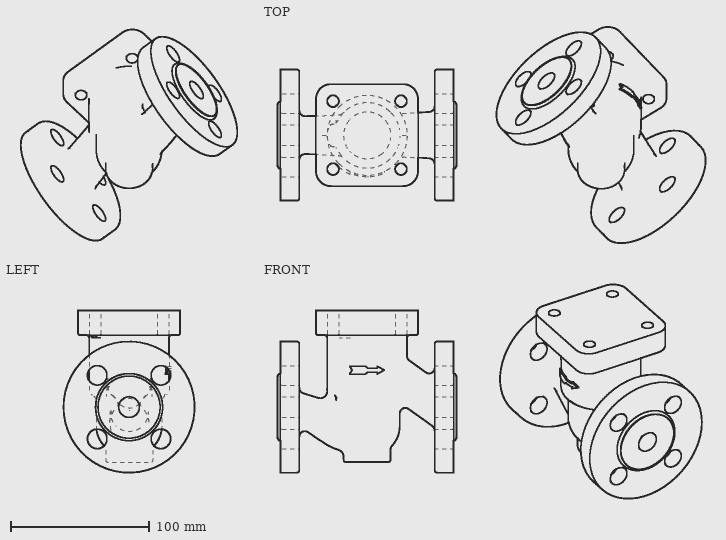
import cadquery as cq


LENGTH = 130.0
FLANGE_DIA = 95.0
FLANGE_THICKNESS = 13.8
FLANGE_EDGE_ROUND = 1.8
RAISED_FACE_DIA = 45.0
RAISED_FACE_HEIGHT = 2.3
RAISED_FACE_FILLET = 1.8
BORE_DIA = 15.0
BOLT_CIRCLE_DIA = 65.0
BOLT_HOLE_DIA = 14.0
BOLT_COUNT = 4

FLANGE_FRONT_X = LENGTH / 2 - RAISED_FACE_HEIGHT
FLANGE_BACK_X = FLANGE_FRONT_X - FLANGE_THICKNESS
BORE_DEPTH = RAISED_FACE_HEIGHT + FLANGE_THICKNESS

HEIGHT = 117.5
PLATE_SIDE = 74.0
PLATE_THICKNESS = 18.0
PLATE_CORNER_RADIUS = 10.9
PLATE_EDGE_ROUND = 1.5
PLATE_HOLE_DIA = 8.3
PLATE_HOLE_PITCH = 49.1

PLATE_TOP_Z = HEIGHT - FLANGE_DIA / 2
PLATE_BOTTOM_Z = PLATE_TOP_Z - PLATE_THICKNESS

CHAMBER_RADIUS = 58.0 / 2
CHAMBER_BOTTOM_Z = 13.1
SHOULDER_TURN_Z = 9.0
WAIST_RADIUS = 23.8
WAIST_TOP_Z = 3.9
WAIST_BOTTOM_Z = -13.9
BOWL_TURN_Z = -27.5
BOSS_RADIUS = 34.0 / 2
BOSS_TOP_Z = -31.3
BOSS_BOTTOM_Z = -39.8
BOSS_EDGE_ROUND = 1.7
PLATE_FILLET = 1.8

INLET_SECTIONS = [
    (-52.0, 0.0, 13.8, 12.0),
    (-37.0, -7.4, 13.9, 14.7),
    (-29.0, -11.3, 14.3, 16.1),
    (-19.5, -14.8, 14.8, 16.5),
    (-6.5, -16.9, 15.0, 15.6),
]
OUTLET_SECTIONS = [
    (13.0, 28.6, 15.0, 17.8),
    (52.0, 0.6, 17.3, 17.8),
]
PIPE_FILLET = 3.9
OUTLET_BODY_FILLET = 3.9
INLET_BODY_FILLET = 5.0

SEAM_MARGIN = 0.1

ARROW_CENTER_Z = 26.8
ARROW_TAIL_X = -12.6
ARROW_NOTCH_X = -10.8
ARROW_TAPER_START_X = -1.2
ARROW_TAPER_END_X = 0.5
ARROW_HEAD_X = 7.3
ARROW_TIP_X = 12.5
ARROW_HALF_HEIGHT = 2.9
ARROW_SHAFT_HALF_HEIGHT = 1.4
ARROW_RELIEF = 1.0


def make_flange():
    """Flange on the +X end, with its raised face outwards and no bore yet."""
    disc = (
        cq.Workplane("YZ", origin=(FLANGE_BACK_X, 0, 0))
        .circle(FLANGE_DIA / 2)
        .extrude(FLANGE_THICKNESS)
        .faces("<X").edges().fillet(FLANGE_EDGE_ROUND)
    )
    inner_x = FLANGE_BACK_X + FLANGE_THICKNESS / 2
    fillet_end_x = FLANGE_FRONT_X + RAISED_FACE_FILLET
    face_radius = RAISED_FACE_DIA / 2
    foot_radius = face_radius + RAISED_FACE_FILLET
    raised_face = (
        cq.Workplane("XY")
        .moveTo(inner_x, 0)
        .lineTo(inner_x, foot_radius)
        .lineTo(FLANGE_FRONT_X, foot_radius)
        .radiusArc((fillet_end_x, face_radius), RAISED_FACE_FILLET)
        .lineTo(LENGTH / 2, face_radius)
        .lineTo(LENGTH / 2, 0)
        .close()
        .revolve(360, (0, 0, 0), (1, 0, 0))
    )
    return disc.union(raised_face)


def make_pipe(sections):
    """Oblique pipe lofted through elliptical sections."""
    pipe = cq.Workplane("YZ")
    last_x = 0
    for x, center_z, half_width, half_height in sections:
        pipe = (
            pipe.workplane(offset=x - last_x)
            .moveTo(0, center_z)
            .ellipse(half_width, half_height)
        )
        last_x = x
    return pipe.loft(combine=True)


def radius_on_step(z, upper, lower):
    """Radius at height z on the straight line between two (radius, z) points."""
    share = (z - lower[1]) / (upper[1] - lower[1])
    return lower[0] + share * (upper[0] - lower[0])


def make_body():
    """Turned body whose steps are S-curves of two tangent arcs."""
    chamber_end = (CHAMBER_RADIUS, CHAMBER_BOTTOM_Z)
    waist_start = (WAIST_RADIUS, WAIST_TOP_Z)
    waist_end = (WAIST_RADIUS, WAIST_BOTTOM_Z)
    boss_start = (BOSS_RADIUS, BOSS_TOP_Z)
    shoulder_turn = (radius_on_step(SHOULDER_TURN_Z, chamber_end, waist_start), SHOULDER_TURN_Z)
    bowl_turn = (radius_on_step(BOWL_TURN_Z, waist_end, boss_start), BOWL_TURN_Z)
    return (
        cq.Workplane("XZ")
        .moveTo(0, PLATE_BOTTOM_Z)
        .lineTo(CHAMBER_RADIUS, PLATE_BOTTOM_Z)
        .lineTo(*chamber_end)
        .tangentArcPoint(shoulder_turn, relative=False)
        .tangentArcPoint(waist_start, relative=False)
        .lineTo(*waist_end)
        .tangentArcPoint(bowl_turn, relative=False)
        .tangentArcPoint(boss_start, relative=False)
        .lineTo(BOSS_RADIUS, BOSS_BOTTOM_Z)
        .lineTo(0, BOSS_BOTTOM_Z)
        .close()
        .revolve(360, (0, 0, 0), (0, 1, 0))
        .faces("<Z").edges().fillet(BOSS_EDGE_ROUND)
    )


def make_plate():
    """Square cover plate, without its holes."""
    return (
        cq.Workplane("XY", origin=(0, 0, PLATE_BOTTOM_Z))
        .rect(PLATE_SIDE, PLATE_SIDE)
        .extrude(PLATE_THICKNESS)
        .edges("|Z").fillet(PLATE_CORNER_RADIUS)
        .faces("<Z").edges().fillet(PLATE_EDGE_ROUND)
    )


def make_arrow():
    """Flow arrow pointing to +X, a thin pad following the chamber wall."""
    upper_side = [
        (ARROW_TAIL_X, ARROW_HALF_HEIGHT),
        (ARROW_TAPER_START_X, ARROW_HALF_HEIGHT),
        (ARROW_TAPER_END_X, ARROW_SHAFT_HALF_HEIGHT),
        (ARROW_HEAD_X, ARROW_SHAFT_HALF_HEIGHT),
        (ARROW_HEAD_X, ARROW_HALF_HEIGHT),
    ]
    lower_side = [(x, -z) for x, z in reversed(upper_side)]
    outline = upper_side + [(ARROW_TIP_X, 0)] + lower_side + [(ARROW_NOTCH_X, 0)]
    pad_radius = CHAMBER_RADIUS + ARROW_RELIEF
    prism = (
        cq.Workplane("XZ", origin=(0, 0, ARROW_CENTER_Z))
        .polyline(outline)
        .close()
        .extrude(2 * pad_radius)
    )
    ring = (
        cq.Workplane("XY", origin=(0, 0, ARROW_CENTER_Z - 2 * ARROW_HALF_HEIGHT))
        .circle(pad_radius)
        .circle(CHAMBER_RADIUS - ARROW_RELIEF)
        .extrude(4 * ARROW_HALF_HEIGHT)
    )
    return prism.intersect(ring)


def bolt_hole_cutter():
    """Bolt holes through both flanges, straddling the centre lines."""
    one_end = (
        cq.Workplane("YZ", origin=(FLANGE_BACK_X, 0, 0))
        .polarArray(BOLT_CIRCLE_DIA / 2, 180 / BOLT_COUNT, 360, BOLT_COUNT)
        .circle(BOLT_HOLE_DIA / 2)
        .extrude(FLANGE_THICKNESS)
    )
    return one_end.union(one_end.mirror("YZ"))


def bore_cutter():
    """Blind bore in each flange."""
    one_end = (
        cq.Workplane("YZ", origin=(LENGTH / 2 - BORE_DEPTH, 0, 0))
        .circle(BORE_DIA / 2)
        .extrude(BORE_DEPTH)
    )
    return one_end.union(one_end.mirror("YZ"))


def plate_hole_cutter():
    """Four holes through the cover plate."""
    return (
        cq.Workplane("XY", origin=(0, 0, PLATE_BOTTOM_Z))
        .rect(PLATE_HOLE_PITCH, PLATE_HOLE_PITCH, forConstruction=True)
        .vertices()
        .circle(PLATE_HOLE_DIA / 2)
        .extrude(PLATE_THICKNESS)
    )


def fillet_edges_in_box(solid, low_corner, high_corner, radius):
    """Fillet every edge that lies wholly inside the given box."""
    box = cq.selectors.BoxSelector(low_corner, high_corner, boundingbox=True)
    return solid.edges(box).fillet(radius)


def join_pipe(flange, sections, side):
    """Flange with its pipe and the fillet between them; side is +1 on +X and -1 on -X."""
    seam_x = side * FLANGE_BACK_X
    reach = RAISED_FACE_DIA / 2
    return fillet_edges_in_box(
        flange.union(make_pipe(sections)),
        (seam_x - SEAM_MARGIN, -reach, -reach),
        (seam_x + SEAM_MARGIN, reach, reach),
        PIPE_FILLET,
    )


outlet_flange = make_flange()
outlet = join_pipe(outlet_flange, OUTLET_SECTIONS, 1)
inlet = join_pipe(outlet_flange.mirror("YZ"), INLET_SECTIONS, -1)

chamber_reach = CHAMBER_RADIUS + SEAM_MARGIN
body = fillet_edges_in_box(
    make_body().union(make_plate()),
    (-chamber_reach, -chamber_reach, PLATE_BOTTOM_Z - SEAM_MARGIN),
    (chamber_reach, chamber_reach, PLATE_BOTTOM_Z + SEAM_MARGIN),
    PLATE_FILLET,
)

body = fillet_edges_in_box(
    body.union(outlet),
    (BOSS_RADIUS, -WAIST_RADIUS, WAIST_BOTTOM_Z),
    (chamber_reach, WAIST_RADIUS, PLATE_BOTTOM_Z - PLATE_FILLET - SEAM_MARGIN),
    OUTLET_BODY_FILLET,
)
body = fillet_edges_in_box(
    body.union(inlet),
    (-chamber_reach, -BOSS_RADIUS, BOSS_BOTTOM_Z + BOSS_EDGE_ROUND + SEAM_MARGIN),
    (-BOSS_RADIUS / 2, BOSS_RADIUS, WAIST_TOP_Z),
    INLET_BODY_FILLET,
)

result = (
    body.union(make_arrow())
    .cut(bolt_hole_cutter())
    .cut(bore_cutter())
    .cut(plate_hole_cutter())
)